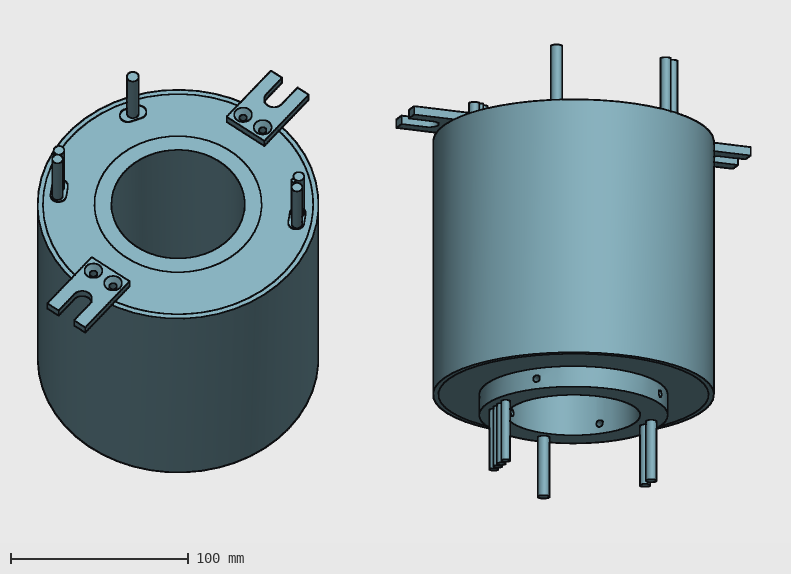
import cadquery as cq
import math


body_height = 149.2
flange_height = 12.0
wire_length = 35.0

shell_radius = 79.0
core_radius = 76.0
rotor_radius = 47.0
bore_radius = 37.5
flange_radius = 53.0

set_screw_diameter = 4.0
set_screw_z = -flange_height / 2
set_screw_angles = (45, 135, 225, 315)

tab_reach = 102.0
tab_length = 40.5
tab_width = 27.0
tab_thickness = 5.0
tab_angles = (0, 180)
tab_inner_end = tab_reach - tab_length
fork_width = 11.0
fork_depth = 20.0

screw_spacing = 14.0
screw_edge_distance = 6.8
screw_hole_radius = 2.1
countersink_radius = 5.0
screw_hole_depth = 12.0
drill_point_half_angle = math.radians(59)

exit_center_radius = 67.5
exit_width = 9.0
exit_length = 15.4
exit_depth = 0.5

power_wire = 6.7
pair_wire = 6.0
signal_wire = 5.0
thin_wire = 2.4

stator_wire_radius = 68.0
thin_wire_radius = 65.4
stator_wire_groups = (
    (30, ((stator_wire_radius, -3.75, pair_wire),
          (stator_wire_radius, 3.75, pair_wire),
          (thin_wire_radius, 0.5, thin_wire))),
    (150, ((stator_wire_radius, 0.0, power_wire),)),
    (210, ((stator_wire_radius, -2.8, pair_wire),
           (stator_wire_radius, 3.3, pair_wire))),
)

rotor_wire_radius = 45.0
rotor_wire_groups = (
    (0, ((rotor_wire_radius, 0.0, power_wire),)),
    (90, ((rotor_wire_radius, -8.1, signal_wire),
          (rotor_wire_radius, -2.0, signal_wire),
          (rotor_wire_radius, 3.2, signal_wire),
          (rotor_wire_radius, 9.6, signal_wire))),
    (270, ((rotor_wire_radius, -5.3, pair_wire),
           (rotor_wire_radius, 3.9, pair_wire))),
)


def turned(shape, angle):
    """Turn a shape about the Z axis."""
    return shape.rotate((0, 0, 0), (0, 0, 1), angle)


def ring(outer_radius, inner_radius, bottom, height):
    plane = cq.Workplane("XY", origin=(0, 0, bottom))
    return plane.circle(outer_radius).circle(inner_radius).extrude(height)


def wire(radius, offset, diameter, bottom, length):
    plane = cq.Workplane("XY", origin=(radius, offset, bottom))
    return plane.circle(diameter / 2).extrude(length)


def wire_exit():
    """Obround recess on the +X side, long along the tangent."""
    plane = cq.Workplane("XY", origin=(exit_center_radius, 0, body_height - exit_depth))
    return plane.slot2D(exit_length, exit_width, 90).extrude(exit_depth)


def fork_tab():
    """Tab that reaches out along +Y, with a round-ended slot open at its tip."""
    plane = cq.Workplane("XY", origin=(0, 0, body_height))
    slot_end = tab_reach - fork_depth
    arc_start = slot_end + fork_width / 2
    return (
        plane.moveTo(-tab_width / 2, tab_inner_end)
        .lineTo(tab_width / 2, tab_inner_end)
        .lineTo(tab_width / 2, tab_reach)
        .lineTo(fork_width / 2, tab_reach)
        .lineTo(fork_width / 2, arc_start)
        .threePointArc((0, slot_end), (-fork_width / 2, arc_start))
        .lineTo(-fork_width / 2, tab_reach)
        .lineTo(-tab_width / 2, tab_reach)
        .close()
        .extrude(tab_thickness)
    )


def screw_hole(x):
    """Countersunk blind hole, from the top of the +Y tab into the stator core."""
    head_depth = countersink_radius - screw_hole_radius
    tip_depth = screw_hole_depth + screw_hole_radius / math.tan(drill_point_half_angle)
    profile = (
        cq.Workplane("XZ")
        .lineTo(countersink_radius, 0)
        .lineTo(screw_hole_radius, -head_depth)
        .lineTo(screw_hole_radius, -screw_hole_depth)
        .lineTo(0, -tip_depth)
        .close()
    )
    hole = profile.revolve(360, (0, 0, 0), (0, 1, 0))
    return hole.translate((x, tab_inner_end + screw_edge_distance, body_height + tab_thickness))


def make_shell():
    return ring(shell_radius, core_radius, 0, body_height)


def make_stator_core():
    core = ring(core_radius, rotor_radius, 0, body_height)

    for angle, wires in stator_wire_groups:
        core = core.cut(turned(wire_exit(), angle))
        for radius, offset, diameter in wires:
            upper_wire = wire(radius, offset, diameter, body_height - exit_depth, wire_length + exit_depth)
            core = core.union(turned(upper_wire, angle))

    for angle in tab_angles:
        core = core.union(turned(fork_tab(), angle))
        for x in (-screw_spacing / 2, screw_spacing / 2):
            core = core.cut(turned(screw_hole(x), angle))
    return core


def make_rotor():
    tube = ring(rotor_radius, bore_radius, 0, body_height)
    rotor = tube.union(ring(flange_radius, bore_radius, -flange_height, flange_height))

    for angle in set_screw_angles:
        drill = cq.Workplane("YZ", origin=(0, 0, set_screw_z)).circle(set_screw_diameter / 2)
        rotor = rotor.cut(turned(drill.extrude(flange_radius), angle))

    for angle, wires in rotor_wire_groups:
        for radius, offset, diameter in wires:
            lower_wire = wire(radius, offset, diameter, -flange_height - wire_length, wire_length)
            rotor = rotor.union(turned(lower_wire, angle))
    return rotor


shell = make_shell()
stator_core = make_stator_core()
rotor = make_rotor()

bodies = (shell, stator_core, rotor)
result = cq.Compound.makeCompound([body.solids().val() for body in bodies])